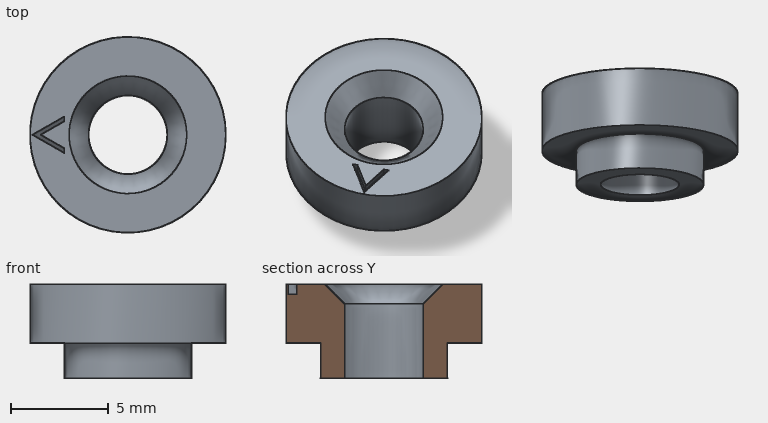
import cadquery as cq

head_diameter = 10.0
head_height = 3.0
spigot_diameter = 6.5
spigot_height = 1.8
bore_diameter = 4.0
mouth_diameter = 6.0

mark_depth = 0.5
mark_tip_distance = 4.87
mark_inner_tip_distance = 4.45
mark_end_distance = 3.24
mark_half_width = 0.93

mouth_depth = (mouth_diameter - bore_diameter) / 2


def make_body():
    """Round head with a smaller coaxial spigot below it."""
    head = cq.Workplane("XY").circle(head_diameter / 2).extrude(head_height)
    spigot = cq.Workplane("XY").circle(spigot_diameter / 2).extrude(-spigot_height)
    return head.union(spigot)


def make_bore():
    """Through bore whose upper end opens to the mouth in a 45 degree cone."""
    bore_radius = bore_diameter / 2
    mouth_radius = mouth_diameter / 2
    return (
        cq.Workplane("XZ")
        .moveTo(0, -spigot_height)
        .lineTo(bore_radius, -spigot_height)
        .lineTo(bore_radius, head_height - mouth_depth)
        .lineTo(mouth_radius, head_height)
        .lineTo(0, head_height)
        .close()
        .revolve(360, (0, 0, 0), (0, 1, 0))
    )


def make_pointer_mark():
    """V-shaped groove pointing outward along -X."""
    arm_slope = mark_half_width / (mark_tip_distance - mark_end_distance)
    inner_half_width = arm_slope * (mark_inner_tip_distance - mark_end_distance)
    return (
        cq.Workplane("XY", origin=(0, 0, head_height))
        .polyline([
            (-mark_tip_distance, 0),
            (-mark_end_distance, mark_half_width),
            (-mark_end_distance, inner_half_width),
            (-mark_inner_tip_distance, 0),
            (-mark_end_distance, -inner_half_width),
            (-mark_end_distance, -mark_half_width),
        ])
        .close()
        .extrude(-mark_depth)
    )


result = make_body().cut(make_bore()).cut(make_pointer_mark())